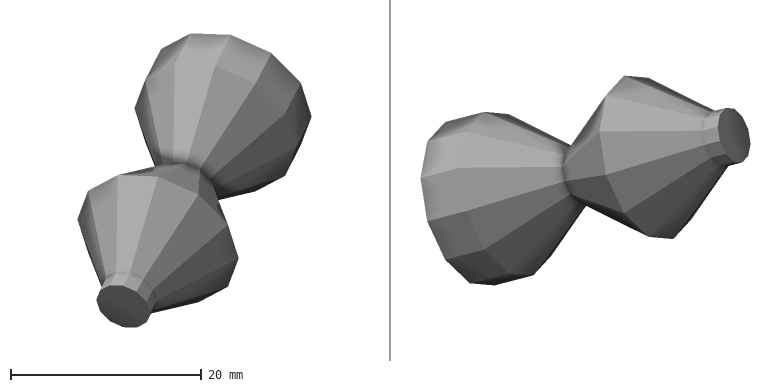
import cadquery as cq

SIDES = 12
WIDE_DIAMETER = 18.0
NARROW_DIAMETER = 6.0

TIP_LENGTH = 2.0
CONE_LENGTH = 9.0
BASE_LENGTH = 5.0

TIP_FACE_Y = 0.0
TIP_ROOT_Y = TIP_FACE_Y + TIP_LENGTH
BULGE_Y = TIP_ROOT_Y + CONE_LENGTH
WAIST_Y = BULGE_Y + CONE_LENGTH
BASE_Y = WAIST_Y + CONE_LENGTH
END_Y = BASE_Y + BASE_LENGTH


def polygon_section(y, diameter):
    """Regular polygon centred on the Y axis, with corners on the X and Z axes."""
    return cq.Workplane("XZ", origin=(0, y, 0)).polygon(SIDES, diameter).wires().val()


def body():
    """Faceted body made of straight-sided segments between successive polygons."""
    sections = [
        polygon_section(TIP_FACE_Y, NARROW_DIAMETER),
        polygon_section(TIP_ROOT_Y, NARROW_DIAMETER),
        polygon_section(BULGE_Y, WIDE_DIAMETER),
        polygon_section(WAIST_Y, NARROW_DIAMETER),
        polygon_section(BASE_Y, WIDE_DIAMETER),
        polygon_section(END_Y, WIDE_DIAMETER),
    ]
    return cq.Workplane(cq.Solid.makeLoft(sections, True))


result = body()